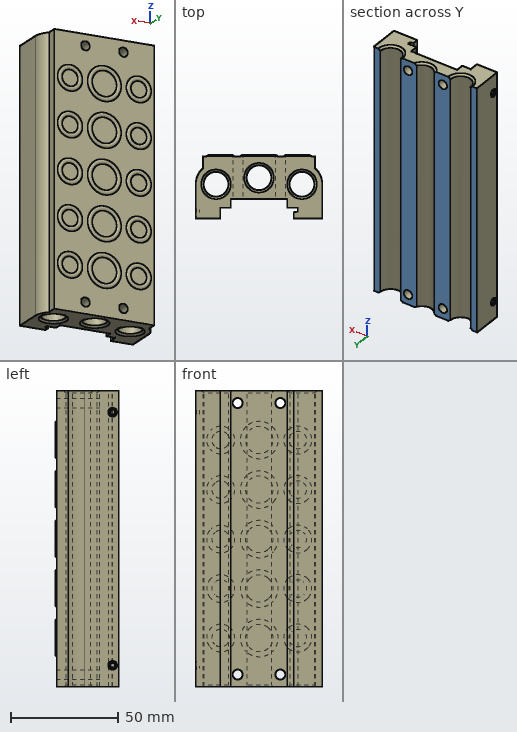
import cadquery as cq
import math

width = 59.0
length = 138.0
total_depth = 29.7
seal_height = 0.7
body_depth = total_depth - seal_height
half_width = width / 2

back_half_width = 26.1
shoulder_radius = 10.0
shoulder_start_y = 16.0
slot_half_width = 18.0
slot_depth = 5.0
channel_half_width = 13.1
channel_depth = 9.1
lip_x = 16.1
lip_tip_y = 3.0
lip_root_y = 3.3

bore_diameter = 11.5
bore_mouth_diameter = 13.8
bore_mouth_depth = 1.0
side_bore_x = 20.0
side_bore_y = shoulder_start_y
middle_bore_y = 19.0

mounting_diameter = 4.5
mounting_x = 10.0
mounting_z = 63.2

screw_z = 58.9
screw_y = 2.9
screw_mouth_diameter = 4.1
screw_head_diameter = 3.2
screw_mouth_depth = 0.4
hex_across_flats = 2.1
hex_depth = 1.4
hex_turn_angle = 30

ring_radius = 1.4
station_count = 5
station_pitch = 23.0
middle_ring_diameter = 17.5
side_ring_diameter = 13.0
side_ring_x = 18.0


def make_body():
    """Extrude the profile; its shoulder arcs run tangent into the outer sides."""
    arc_center_x = half_width - shoulder_radius
    arc_end_angle = math.acos((back_half_width - arc_center_x) / shoulder_radius)
    shoulder_end_y = shoulder_start_y + shoulder_radius * math.sin(arc_end_angle)
    mid_x = arc_center_x + shoulder_radius * math.cos(arc_end_angle / 2)
    mid_y = shoulder_start_y + shoulder_radius * math.sin(arc_end_angle / 2)
    return (
        cq.Workplane("XY", origin=(0, 0, -length / 2))
        .moveTo(-half_width, 0)
        .lineTo(-slot_half_width, 0)
        .lineTo(-slot_half_width, slot_depth)
        .lineTo(-channel_half_width, slot_depth)
        .lineTo(-channel_half_width, channel_depth)
        .lineTo(channel_half_width, channel_depth)
        .lineTo(channel_half_width, slot_depth)
        .lineTo(slot_half_width, slot_depth)
        .lineTo(slot_half_width, lip_root_y)
        .lineTo(lip_x, lip_tip_y)
        .lineTo(lip_x, 0)
        .lineTo(half_width, 0)
        .lineTo(half_width, shoulder_start_y)
        .threePointArc((mid_x, mid_y), (back_half_width, shoulder_end_y))
        .lineTo(back_half_width, body_depth)
        .lineTo(-back_half_width, body_depth)
        .lineTo(-back_half_width, shoulder_end_y)
        .threePointArc((-mid_x, mid_y), (-half_width, shoulder_start_y))
        .close()
        .extrude(length)
    )


def cone(mouth_diameter, floor_diameter, depth, mouth_center, direction):
    """Countersink that narrows from its mouth along the given direction."""
    return cq.Workplane(
        cq.Solid.makeCone(
            mouth_diameter / 2,
            floor_diameter / 2,
            depth,
            pnt=cq.Vector(*mouth_center),
            dir=cq.Vector(*direction),
        )
    )


def make_bore(x, y):
    bore = cq.Workplane("XY", origin=(x, y, -length / 2)).circle(bore_diameter / 2).extrude(length)
    for end in (-1, 1):
        mouth_center = (x, y, end * length / 2)
        mouth = cone(bore_mouth_diameter, bore_diameter, bore_mouth_depth, mouth_center, (0, 0, -end))
        bore = bore.union(mouth)
    return bore


def make_mounting_holes():
    return (
        cq.Workplane("XZ")
        .rect(2 * mounting_x, 2 * mounting_z, forConstruction=True)
        .vertices()
        .circle(mounting_diameter / 2)
        .extrude(-body_depth)
    )


def make_screw_recess(z):
    """Conical mouth with the screw's hexagon socket in its floor."""
    mouth_center = (-half_width, screw_y, z)
    mouth = cone(screw_mouth_diameter, screw_head_diameter, screw_mouth_depth, mouth_center, (1, 0, 0))
    socket = (
        cq.Workplane("YZ", origin=mouth_center)
        .transformed(rotate=(0, 0, hex_turn_angle))
        .polygon(6, hex_across_flats, circumscribed=True)
        .extrude(screw_mouth_depth + hex_depth)
    )
    return mouth.union(socket)


def make_seal_ring(x, z, face_diameter):
    """Torus that stands proud by the seal height; face_diameter is its outer edge on the +Y face."""
    center = cq.Vector(x, total_depth - ring_radius, z)
    half_chord = math.sqrt(ring_radius**2 - (ring_radius - seal_height) ** 2)
    return cq.Solid.makeTorus(face_diameter / 2 - half_chord, ring_radius, center, cq.Vector(0, 1, 0))


result = make_body()

for row in range(station_count):
    station_z = (row - (station_count - 1) / 2) * station_pitch
    result = result.union(make_seal_ring(0, station_z, middle_ring_diameter))
    for side in (-1, 1):
        result = result.union(make_seal_ring(side * side_ring_x, station_z, side_ring_diameter))

result = result.cut(make_bore(0, middle_bore_y))
for side in (-1, 1):
    result = result.cut(make_bore(side * side_bore_x, side_bore_y))
    result = result.cut(make_screw_recess(side * screw_z))
result = result.cut(make_mounting_holes())